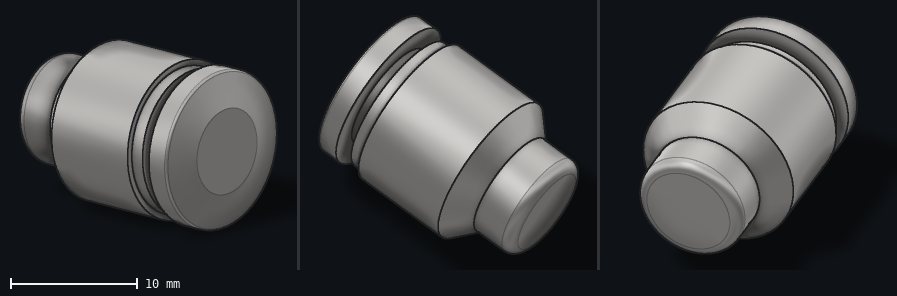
import cadquery as cq
import math

total_length = 18.5
neck_end = 3.72
body_end = 13.85
step_end = 15.0
groove_end = 16.15

nose_diameter = 9.0
body_diameter = 13.0
step_diameter = 12.0
groove_diameter = 9.1
end_face_diameter = 7.0

nose_round = 0.9
rim_round = 0.2
end_cone_angle = math.radians(10)

nose_radius = nose_diameter / 2
body_radius = body_diameter / 2
step_radius = step_diameter / 2
groove_radius = groove_diameter / 2
end_face_radius = end_face_diameter / 2

shoulder_end = neck_end + body_radius - nose_radius

rim_round_end_radius = body_radius - rim_round * (1 - math.sin(end_cone_angle))
rim_round_end = total_length - (rim_round_end_radius - end_face_radius) * math.tan(end_cone_angle)
rim_round_start = rim_round_end - rim_round * math.cos(end_cone_angle)

half_section = (
    cq.Workplane("XY")
    .lineTo(0, nose_radius - nose_round)
    .radiusArc((nose_round, nose_radius), nose_round)
    .lineTo(neck_end, nose_radius)
    .lineTo(shoulder_end, body_radius)
    .lineTo(body_end, body_radius)
    .lineTo(body_end, step_radius)
    .lineTo(step_end, step_radius)
    .lineTo(step_end, groove_radius)
    .lineTo(groove_end, groove_radius)
    .lineTo(groove_end, body_radius)
    .lineTo(rim_round_start, body_radius)
    .radiusArc((rim_round_end, rim_round_end_radius), rim_round)
    .lineTo(total_length, end_face_radius)
    .lineTo(total_length, 0)
    .close()
)

result = half_section.revolve(360, (0, 0, 0), (1, 0, 0))